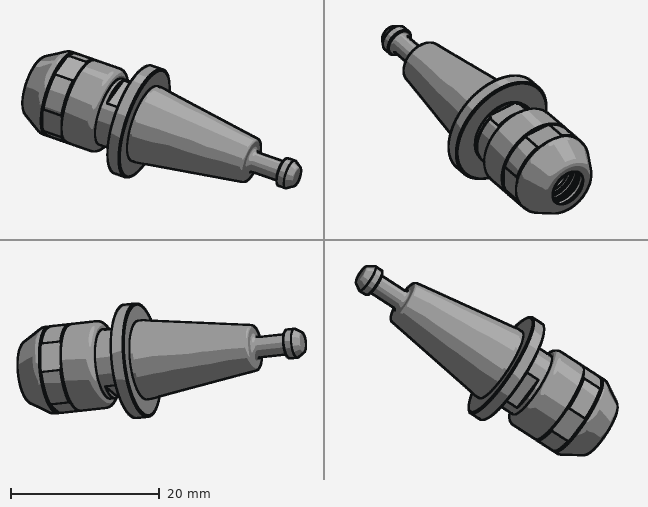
import cadquery as cq
import math


nut_radius = 5.9
nut_length = 11.48
nose_face_radius = 4.05
nose_length = 3.2
nose_front_fillet = 1.0
nose_rear_fillet = 0.95
nut_rear_fillet = 0.85
vee_positions = (4.0, 6.92)
vee_half_width = 0.1
vee_depth = 0.1
nut_flat_count = 4
nut_flat_distance = 5.55

mouth_radius = 2.57
lip_thickness = 0.15
front_groove_radius = 2.93
front_groove_end = 1.25
front_relief_depth = 0.1
front_relief_end = 0.47
land_end = 1.65
rear_groove_radius = 3.2
rear_relief_depth = 0.08
rear_relief_end = 2.2
rear_throat_radius = 3.05
rear_taper_length = 0.08

seat_face_x = 2.93
seat_chamfer_radius = 2.8
seat_chamfer_length = 0.35
seat_radius = 2.6
seat_bottom_radius = 2.1
seat_angle = 8
drill_point_angle = 118

shank_radius = 4.7
shank_end = 14.15
neck_radius = 4.6
shank_flat_distance = 4.0
shank_flat_start = 12.15
shank_flat_end = 14.6
flange_start = 14.72
flange_width = 1.9
flange_radius = 15.4 / 2
flange_chamfer_length = 0.1
flange_chamfer_depth = 0.2

taper_radius = 5.35
taper_start = 17.17
taper_end = 32.72
taper_ratio = 7 / 24
taper_end_fillet = 0.4

stud_radius = 1.4
stud_root_fillet = 0.6
knob_radius = 1.98
knob_start = 37.35
knob_root_fillet = 0.25
knob_rear_chamfer = 0.1
knob_cone_start = 38.55
knob_tip_radius = 1.35
knob_tip_fillet = 0.3
total_length = 39.57

tolerance = 0.0005


def turn(points):
    """Revolve a closed outline of (x, radius) points about the X axis."""
    return cq.Workplane("XZ").polyline(points).close().revolve(360, (0, 0, 0), (1, 0, 0))


def rim(body, x, radius):
    """Select the circular edge of a turned body at the given place and radius."""
    return body.edges("%CIRCLE").filter(
        lambda edge: abs(edge.Center().x - x) < tolerance and abs(edge.radius() - radius) < tolerance
    )


def flat_cutter(start, end, distance, angle):
    """Block that cuts a flat at a distance from the axis, turned about X by an angle."""
    size = 2 * flange_radius
    block = cq.Workplane("XY").box(end - start, size, size, centered=(False, True, False))
    return block.translate((start, 0, distance)).rotate((0, 0, 0), (1, 0, 0), angle)


def make_nut_blank():
    blank = turn([
        (0, 0),
        (0, nose_face_radius),
        (nose_length, nut_radius),
        (nut_length, nut_radius),
        (nut_length, 0),
    ])
    blank = rim(blank, 0, nose_face_radius).fillet(nose_front_fillet)
    blank = rim(blank, nose_length, nut_radius).fillet(nose_rear_fillet)
    return rim(blank, nut_length, nut_radius).fillet(nut_rear_fillet)


def cut_wrench_section(nut):
    """Wrench flats around the nut, with a vee groove at each end of them."""
    for angle_index in range(nut_flat_count):
        angle = 360 / nut_flat_count * angle_index
        nut = nut.cut(flat_cutter(*vee_positions, nut_flat_distance, angle))
    for x in vee_positions:
        nut = nut.cut(turn([
            (x - vee_half_width, nut_radius),
            (x, nut_radius - vee_depth),
            (x + vee_half_width, nut_radius),
        ]))
    return nut


def make_nut_bore():
    """Stepped inside of the nut, with the socket for the shank behind it."""
    front_relief_radius = front_groove_radius + front_relief_depth
    rear_relief_radius = rear_groove_radius + rear_relief_depth
    return turn([
        (0, 0),
        (0, mouth_radius),
        (lip_thickness, mouth_radius),
        (front_relief_end, front_relief_radius),
        (front_relief_end + front_relief_depth, front_groove_radius),
        (front_groove_end, front_groove_radius),
        (front_groove_end, mouth_radius),
        (land_end, mouth_radius),
        (land_end, rear_relief_radius),
        (rear_relief_end, rear_relief_radius),
        (rear_relief_end + rear_relief_depth, rear_groove_radius),
        (seat_face_x - rear_taper_length, rear_groove_radius),
        (seat_face_x, rear_throat_radius),
        (seat_face_x, shank_radius),
        (nut_length, shank_radius),
        (nut_length, 0),
    ])


def make_nut():
    return cut_wrench_section(make_nut_blank()).cut(make_nut_bore())


def make_holder_blank():
    """Shank, flange, taper and pull stud, turned in one piece."""
    flange_end = flange_start + flange_width
    flange_rim_radius = flange_radius - flange_chamfer_depth
    taper_end_radius = taper_radius - (taper_end - taper_start) * taper_ratio / 2
    blank = turn([
        (seat_face_x, 0),
        (seat_face_x, shank_radius),
        (shank_end, shank_radius),
        (shank_end, neck_radius),
        (flange_start, neck_radius),
        (flange_start, flange_rim_radius),
        (flange_start + flange_chamfer_length, flange_radius),
        (flange_end - flange_chamfer_length, flange_radius),
        (flange_end, flange_rim_radius),
        (flange_end, taper_radius),
        (taper_start, taper_radius),
        (taper_end, taper_end_radius),
        (taper_end, stud_radius),
        (knob_start, stud_radius),
        (knob_start, knob_radius),
        (knob_cone_start, knob_radius),
        (total_length, knob_tip_radius),
        (total_length, 0),
    ])
    blank = rim(blank, taper_end, taper_end_radius).fillet(taper_end_fillet)
    blank = rim(blank, taper_end, stud_radius).fillet(stud_root_fillet)
    blank = rim(blank, knob_start, stud_radius).fillet(knob_root_fillet)
    blank = rim(blank, knob_start, knob_radius).chamfer(knob_rear_chamfer)
    return rim(blank, total_length, knob_tip_radius).fillet(knob_tip_fillet)


def make_collet_seat():
    """Chamfered conical seat that ends in a drill point."""
    seat_start = seat_face_x + seat_chamfer_length
    seat_end = seat_start + (seat_radius - seat_bottom_radius) / math.tan(math.radians(seat_angle))
    drill_tip = seat_end + seat_bottom_radius / math.tan(math.radians(drill_point_angle / 2))
    return turn([
        (seat_face_x, 0),
        (seat_face_x, seat_chamfer_radius),
        (seat_start, seat_radius),
        (seat_end, seat_bottom_radius),
        (drill_tip, 0),
    ])


def make_holder():
    holder = make_holder_blank().cut(make_collet_seat())
    for angle in (0, 180):
        holder = holder.cut(flat_cutter(shank_flat_start, shank_flat_end, shank_flat_distance, angle))
    return holder


nut = make_nut()
holder = make_holder()

result = cq.Compound.makeCompound([nut.val(), holder.val()])